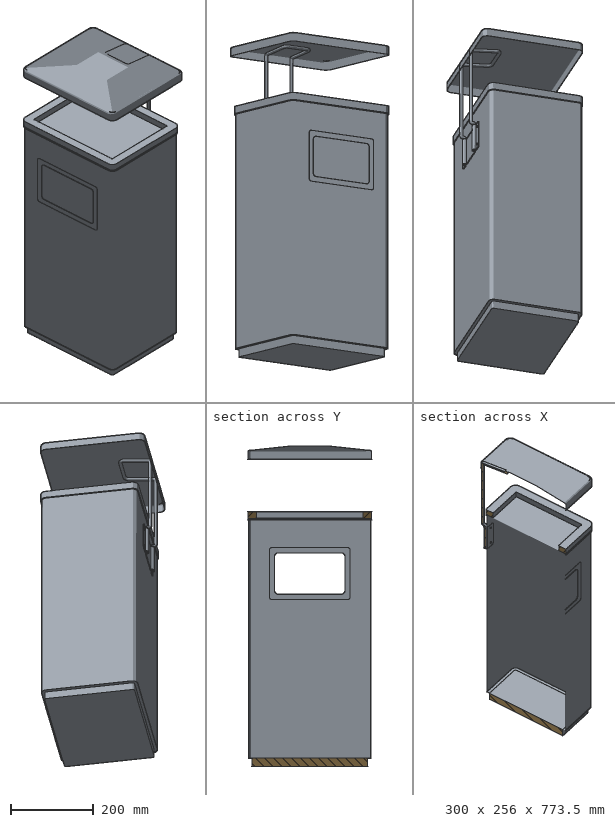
import cadquery as cq
import math


SHEET = 1.0

ROOF_WIDTH, ROOF_DEPTH = 300.0, 256.0
ROOF_TOP_Z = 773.52
ROOF_EAVE_Z = 763.2
ROOF_BOTTOM_Z = 741.0
ROOF_CORNER = 15.0
ROOF_EAVE_FILLET = 4.7
PLATEAU_WIDTH, PLATEAU_DEPTH = 98.0, 76.0

FRONT_Y = -ROOF_DEPTH / 2
BACK_Y = ROOF_DEPTH / 2

TRAY_WIDTH, TRAY_DEPTH, TRAY_HEIGHT = 300.0, 240.0, 20.0
TRAY_TOP_Z = 615.0
TRAY_BOTTOM_Z = TRAY_TOP_Z - TRAY_HEIGHT
TRAY_CORNER = 15.0
TRAY_RIM = 22.0
TRAY_FLOOR = 2.0
TRAY_OVERHANG = 2.0
TRAY_LAP = 2.5
TRAY_Y = FRONT_Y + TRAY_DEPTH / 2

BIN_WIDTH = TRAY_WIDTH - 2 * TRAY_OVERHANG
BIN_DEPTH = TRAY_DEPTH - 2 * TRAY_OVERHANG
BIN_CORNER = TRAY_CORNER - TRAY_OVERHANG
BIN_TOP_Z = TRAY_BOTTOM_Z + TRAY_LAP
BIN_BACK_Y = TRAY_Y + BIN_DEPTH / 2
BIN_FRONT_Y = TRAY_Y - BIN_DEPTH / 2
PLINTH_HEIGHT = 20.0
PLINTH_INSET = 8.0

FRAME_WIDTH, FRAME_HEIGHT, FRAME_CORNER = 195.0, 125.0, 6.0
FRAME_RAISE = 0.5
FRAME_Z = 465.5
FRAME_BORDER = 13.0
OPENING_CORNER = 8.0

ROD_RADIUS = 4.0
ROD_X = 38.0
ROD_LOW_Y = BIN_BACK_Y + ROD_RADIUS
ROD_HIGH_Y = BACK_Y - SHEET - ROD_RADIUS
ROD_TOP_BEND = 5.0
ROD_LOOP_BEND = 10.0
ROD_FOOT_GAP = 2.0
ROD_LOOP_Y = 48.0

BRACKET_WIDTH, BRACKET_HEIGHT = 124.0, 70.0
BRACKET_THICKNESS = 2.0
BRACKET_TOP_Z = 554.0
BRACKET_BOTTOM_Z = BRACKET_TOP_Z - BRACKET_HEIGHT
BRACKET_CORNER = 5.0
CHANNEL_MOUTH_FILLET = 1.8
BRACKET_HOLE = 4.5
BRACKET_HOLE_X = 52.0
BRACKET_HOLE_EDGE = 11.0


def rounded_block(width, depth, bottom, top, corner, y=0.0):
    """Upright block with rounded vertical edges, centred on x = 0."""
    block = cq.Workplane("XY", origin=(0, y, bottom)).rect(width, depth).extrude(top - bottom)
    return block.edges("|Z").fillet(corner)


def upright_plate(width, height, y, thickness, corner, z):
    """Plate in the XZ plane with rounded corners, from y towards +y."""
    plate = cq.Workplane("XZ", origin=(0, y, z)).rect(width, height).extrude(-thickness)
    return plate.edges("|Y").fillet(corner)


def roof_form(offset):
    """Solid roof shape, drawn in by the offset on its sides and lowered by it on top."""
    width = ROOF_WIDTH - 2 * offset
    depth = ROOF_DEPTH - 2 * offset
    corner = ROOF_CORNER - offset
    fillet = ROOF_EAVE_FILLET - offset
    eave_z = ROOF_EAVE_Z - offset
    top_z = ROOF_TOP_Z - offset
    slope_width = ROOF_WIDTH - 2 * ROOF_EAVE_FILLET
    slope_depth = ROOF_DEPTH - 2 * ROOF_EAVE_FILLET
    slope_corner = ROOF_CORNER - ROOF_EAVE_FILLET

    skirt = rounded_block(width, depth, ROOF_BOTTOM_Z, eave_z, corner)
    skirt = skirt.faces(">Z").edges().fillet(fillet)
    slopes = (
        cq.Workplane("XY", origin=(0, 0, eave_z))
        .rect(slope_width, slope_depth)
        .workplane(offset=top_z - eave_z)
        .rect(PLATEAU_WIDTH, PLATEAU_DEPTH)
        .loft(ruled=True)
    )
    slope_limit = rounded_block(slope_width, slope_depth, eave_z, top_z, slope_corner)
    return skirt.union(slopes.intersect(slope_limit))


def make_roof():
    return roof_form(0).cut(roof_form(SHEET))


def make_bin():
    y = TRAY_Y
    plinth_width = BIN_WIDTH - 2 * PLINTH_INSET
    plinth_depth = BIN_DEPTH - 2 * PLINTH_INSET
    plinth_corner = BIN_CORNER - PLINTH_INSET
    plinth = rounded_block(plinth_width, plinth_depth, 0, PLINTH_HEIGHT, plinth_corner, y)
    shell = rounded_block(BIN_WIDTH, BIN_DEPTH, PLINTH_HEIGHT, BIN_TOP_Z, BIN_CORNER, y)
    shell = shell.faces(">Z").shell(-SHEET)
    frame = upright_plate(
        FRAME_WIDTH, FRAME_HEIGHT, BIN_FRONT_Y - FRAME_RAISE, FRAME_RAISE, FRAME_CORNER, FRAME_Z
    )
    opening = upright_plate(
        FRAME_WIDTH - 2 * FRAME_BORDER,
        FRAME_HEIGHT - 2 * FRAME_BORDER,
        BIN_FRONT_Y - FRAME_RAISE,
        FRAME_RAISE + SHEET,
        OPENING_CORNER,
        FRAME_Z,
    )
    return shell.union(plinth).union(frame).cut(opening)


def make_tray():
    tray = rounded_block(TRAY_WIDTH, TRAY_DEPTH, TRAY_BOTTOM_Z, TRAY_TOP_Z, TRAY_CORNER, TRAY_Y)
    seat_width = TRAY_WIDTH - 2 * SHEET
    seat_depth = TRAY_DEPTH - 2 * SHEET
    seat_corner = TRAY_CORNER - SHEET
    seat = rounded_block(seat_width, seat_depth, TRAY_BOTTOM_Z, BIN_TOP_Z, seat_corner, TRAY_Y)
    recess = (
        cq.Workplane("XY", origin=(0, TRAY_Y, BIN_TOP_Z + TRAY_FLOOR))
        .rect(TRAY_WIDTH - 2 * TRAY_RIM, TRAY_DEPTH - 2 * TRAY_RIM)
        .extrude(TRAY_HEIGHT)
    )
    return tray.cut(seat).cut(recess)


def make_rod():
    """One bent rod: two upright legs joined by a loop lying under the rear roof slope."""
    eave_y = BACK_Y - ROOF_EAVE_FILLET
    slope = math.atan2(ROOF_TOP_Z - ROOF_EAVE_Z, eave_y - PLATEAU_DEPTH / 2)

    def axis_z(y):
        """Height of the sloping centre line, touching the underside of the roof."""
        drop = SHEET + ROD_RADIUS / math.cos(slope)
        return ROOF_EAVE_Z + (eave_y - y) * math.tan(slope) - drop

    def sloping(x, y):
        return cq.Vector(x, y, axis_z(y))

    diagonal = math.sqrt(0.5)
    foot_z = BRACKET_BOTTOM_Z + ROD_FOOT_GAP
    jog = (ROD_HIGH_Y - ROD_LOW_Y) / 2
    jog_y = ROD_LOW_Y + jog
    jog_z = BRACKET_TOP_Z + jog

    turn = math.pi / 2 - slope
    bend_y = ROD_HIGH_Y - ROD_TOP_BEND
    bend_end_y = bend_y + ROD_TOP_BEND * math.cos(turn)
    bend_z = axis_z(bend_end_y) - ROD_TOP_BEND * math.sin(turn)

    loop_y = ROD_LOOP_Y + ROD_LOOP_BEND * math.cos(slope)
    loop_x = ROD_X - ROD_LOOP_BEND

    def leg_points(side):
        """Path points from the foot of a leg to its end of the crossbar."""
        x = side * ROD_X
        return {
            "foot": cq.Vector(x, ROD_LOW_Y, foot_z),
            "jog_start": cq.Vector(x, ROD_LOW_Y, BRACKET_TOP_Z),
            "jog_low": cq.Vector(x, jog_y - jog * diagonal, BRACKET_TOP_Z + jog * diagonal),
            "jog_middle": cq.Vector(x, jog_y, jog_z),
            "jog_high": cq.Vector(x, jog_y + jog * diagonal, jog_z + jog - jog * diagonal),
            "jog_end": cq.Vector(x, ROD_HIGH_Y, jog_z + jog),
            "bend_start": cq.Vector(x, ROD_HIGH_Y, bend_z),
            "bend_middle": cq.Vector(
                x,
                bend_y + ROD_TOP_BEND * math.cos(turn / 2),
                bend_z + ROD_TOP_BEND * math.sin(turn / 2),
            ),
            "bend_end": sloping(x, bend_end_y),
            "loop_start": sloping(x, loop_y),
            "loop_middle": sloping(
                side * (loop_x + ROD_LOOP_BEND * diagonal),
                loop_y - ROD_LOOP_BEND * diagonal * math.cos(slope),
            ),
            "loop_end": sloping(side * loop_x, ROD_LOOP_Y),
        }

    def leg_edges(side):
        p = leg_points(side)
        return [
            cq.Edge.makeLine(p["foot"], p["jog_start"]),
            cq.Edge.makeThreePointArc(p["jog_start"], p["jog_low"], p["jog_middle"]),
            cq.Edge.makeThreePointArc(p["jog_middle"], p["jog_high"], p["jog_end"]),
            cq.Edge.makeLine(p["jog_end"], p["bend_start"]),
            cq.Edge.makeThreePointArc(p["bend_start"], p["bend_middle"], p["bend_end"]),
            cq.Edge.makeLine(p["bend_end"], p["loop_start"]),
            cq.Edge.makeThreePointArc(p["loop_start"], p["loop_middle"], p["loop_end"]),
        ]

    crossbar = cq.Edge.makeLine(sloping(-loop_x, ROD_LOOP_Y), sloping(loop_x, ROD_LOOP_Y))
    path = cq.Wire.assembleEdges(leg_edges(-1) + [crossbar] + leg_edges(1))
    foot = cq.Workplane("XY", origin=(-ROD_X, ROD_LOW_Y, foot_z))
    return foot.circle(ROD_RADIUS).sweep(cq.Workplane(path))


def make_bracket():
    """Flat plate with two half-round channels that hold the rod legs to the back wall."""
    middle_z = BRACKET_TOP_Z - BRACKET_HEIGHT / 2

    def channel(x, radius):
        prism = (
            cq.Workplane("XY", origin=(x, BIN_BACK_Y, BRACKET_BOTTOM_Z))
            .moveTo(-radius, 0)
            .lineTo(-radius, ROD_RADIUS)
            .threePointArc((0, ROD_RADIUS + radius), (radius, ROD_RADIUS))
            .lineTo(radius, 0)
            .close()
        )
        return prism.extrude(BRACKET_HEIGHT)

    bracket = upright_plate(
        BRACKET_WIDTH, BRACKET_HEIGHT, BIN_BACK_Y, BRACKET_THICKNESS, BRACKET_CORNER, middle_z
    )
    for x in (-ROD_X, ROD_X):
        bracket = bracket.union(channel(x, ROD_RADIUS + BRACKET_THICKNESS))
        bracket = bracket.cut(channel(x, ROD_RADIUS))
    mouth_edges = cq.selectors.BoxSelector(
        (-BRACKET_HOLE_X, BIN_BACK_Y - BRACKET_THICKNESS / 2, BRACKET_BOTTOM_Z),
        (BRACKET_HOLE_X, BIN_BACK_Y + BRACKET_THICKNESS / 2, BRACKET_TOP_Z),
    )
    bracket = bracket.edges("|Z").edges(mouth_edges).fillet(CHANNEL_MOUTH_FILLET)
    holes = (
        cq.Workplane("XZ", origin=(0, BIN_BACK_Y, middle_z))
        .rect(2 * BRACKET_HOLE_X, BRACKET_HEIGHT - 2 * BRACKET_HOLE_EDGE, forConstruction=True)
        .vertices()
        .circle(BRACKET_HOLE / 2)
        .extrude(-BRACKET_THICKNESS)
    )
    return bracket.cut(holes)


roof = make_roof()
litter_bin = make_bin()
tray = make_tray()
rod = make_rod()
bracket = make_bracket()

result = cq.Compound.makeCompound(
    [roof.val(), litter_bin.val(), tray.val(), rod.val(), bracket.val()]
)